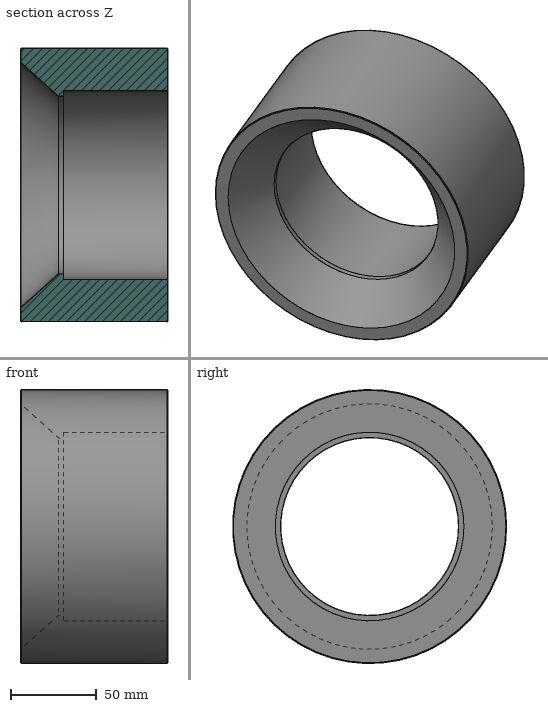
import cadquery as cq

width = 86.0
outer_radius = 160 / 2
mouth_radius = 143.4 / 2
lip_radius = 103.7 / 2
bore_radius = 110.0 / 2
cone_depth = 22.0
lip_width = 3.0
edge_chamfer = 0.5

front = -width / 2
back = width / 2
lip_front = front + cone_depth
lip_back = lip_front + lip_width

section = (
    cq.Workplane("XY")
    .moveTo(front, mouth_radius)
    .lineTo(lip_front, lip_radius)
    .lineTo(lip_back, lip_radius)
    .lineTo(lip_back, bore_radius)
    .lineTo(back, bore_radius)
    .lineTo(back, outer_radius - edge_chamfer)
    .lineTo(back - edge_chamfer, outer_radius)
    .lineTo(front + edge_chamfer, outer_radius)
    .lineTo(front, outer_radius - edge_chamfer)
    .close()
)

result = section.revolve(360, (0, 0, 0), (1, 0, 0))